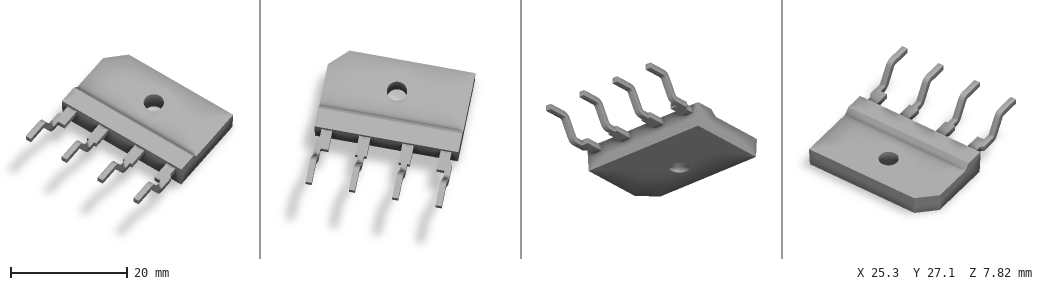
import cadquery as cq
import math

overall_length = 27.07

body_width = 25.3
body_length = 15.38
parting_height = 3.4
cap_height = 3.52
body_height = 4.55
draft_inset = 0.1
corner_cut = 3.2

ridge_depth = 3.52
slope_run = body_height - cap_height

hole_diameter = 3.5
hole_y = 9.53

lead_pitch = 7.6
lead_width = 1.08
lead_thickness = 1.03
lead_bottom = 2.9
lead_top = lead_bottom + lead_thickness
tip_top = 7.82
lead_tip_y = body_length - overall_length
lead_embed = 0.8

shoulder_width = 1.98
end_shoulder_width = 1.9
shoulder_length = 3.6
jog_start = 1.57
root_edge_x = 12.4

bend_start = 4.65
bend_angle = 60
inner_radius = 0.51
outer_radius = inner_radius + lead_thickness


def body_outline(inset):
    """Rectangle with one cut corner at -X +Y; the inset shrinks every side."""
    half = body_width / 2 - inset
    front = inset
    back = body_length - inset
    cut = corner_cut - inset * (2 - math.sqrt(2))
    return [(-half, front), (half, front), (half, back), (-half + cut, back), (-half, back - cut)]


def make_body():
    lower = (
        cq.Workplane("XY").polyline(body_outline(draft_inset)).close()
        .workplane(offset=parting_height).polyline(body_outline(0)).close()
        .loft(ruled=True)
    )
    cap = (
        cq.Workplane("XY", origin=(0, 0, parting_height))
        .polyline(body_outline(0)).close()
        .extrude(cap_height - parting_height)
    )
    ridge_profile = [
        (0, parting_height),
        (ridge_depth + slope_run, parting_height),
        (ridge_depth + slope_run, cap_height),
        (ridge_depth, body_height),
        (0, body_height),
    ]
    ridge = (
        cq.Workplane("YZ").polyline(ridge_profile).close()
        .extrude(body_width / 2, both=True)
    )
    hole = (
        cq.Workplane("XY").center(0, hole_y)
        .circle(hole_diameter / 2).extrude(body_height)
    )
    return lower.union(cap).union(ridge).cut(hole)


def bent_strip():
    """Side shape of the leads, a strip with two opposite bends, as wide as the body."""
    angle = math.radians(bend_angle)
    sin_bend = math.sin(angle)
    cos_bend = math.cos(angle)
    bend_rise = (inner_radius + outer_radius) * (1 - cos_bend)
    tip_rise = tip_top - lead_top
    slope_reach = (tip_rise - bend_rise) / math.tan(angle)
    bend_end = bend_start + (inner_radius + outer_radius) * sin_bend + slope_reach
    tip_bottom = tip_top - lead_thickness

    def lower_bend_end(radius):
        return (-bend_start - radius * sin_bend, lead_top + inner_radius - radius * cos_bend)

    def upper_bend_end(radius):
        return (-bend_end + radius * sin_bend, tip_bottom - inner_radius + radius * cos_bend)

    return (
        cq.Workplane("YZ")
        .moveTo(lead_embed, lead_top)
        .lineTo(-bend_start, lead_top)
        .radiusArc(lower_bend_end(inner_radius), inner_radius)
        .lineTo(*upper_bend_end(outer_radius))
        .radiusArc((-bend_end, tip_top), -outer_radius)
        .lineTo(lead_tip_y, tip_top)
        .lineTo(lead_tip_y, tip_bottom)
        .lineTo(-bend_end, tip_bottom)
        .radiusArc(upper_bend_end(inner_radius), inner_radius)
        .lineTo(*lower_bend_end(outer_radius))
        .radiusArc((-bend_start, lead_bottom), -outer_radius)
        .lineTo(lead_embed, lead_bottom)
        .close()
        .extrude(body_width / 2, both=True)
    )


def inner_lead_plan(center_x):
    """Plan of a straight lead with a shoulder centred on it."""
    return (
        cq.Workplane("XY").center(center_x, 0)
        .rect(shoulder_width, 2 * shoulder_length)
        .extrude(tip_top)
        .union(
            cq.Workplane("XY").center(center_x, 0)
            .rect(lead_width, 2 * abs(lead_tip_y)).extrude(tip_top)
        )
    )


def end_lead_plan():
    """Plan of the +X end lead: it jogs outward and widens into a root flush with the body."""
    center_x = lead_pitch * 3 / 2
    outer_x = center_x + lead_width / 2
    inner_x = center_x - lead_width / 2
    shoulder_x = center_x - end_shoulder_width
    jog_end = jog_start + outer_x - center_x
    points = [
        (shoulder_x, lead_embed),
        (root_edge_x, lead_embed),
        (root_edge_x, 0),
        (center_x, 0),
        (center_x, -jog_start),
        (outer_x, -jog_end),
        (outer_x, lead_tip_y),
        (inner_x, lead_tip_y),
        (inner_x, -shoulder_length),
        (shoulder_x, -shoulder_length),
    ]
    return cq.Workplane("XY").polyline(points).close().extrude(tip_top)


def make_leads():
    end_lead = end_lead_plan()
    plans = end_lead.union(end_lead.mirror("YZ"))
    for center_x in (-lead_pitch / 2, lead_pitch / 2):
        plans = plans.union(inner_lead_plan(center_x))
    return plans.intersect(bent_strip())


result = make_body().union(make_leads())